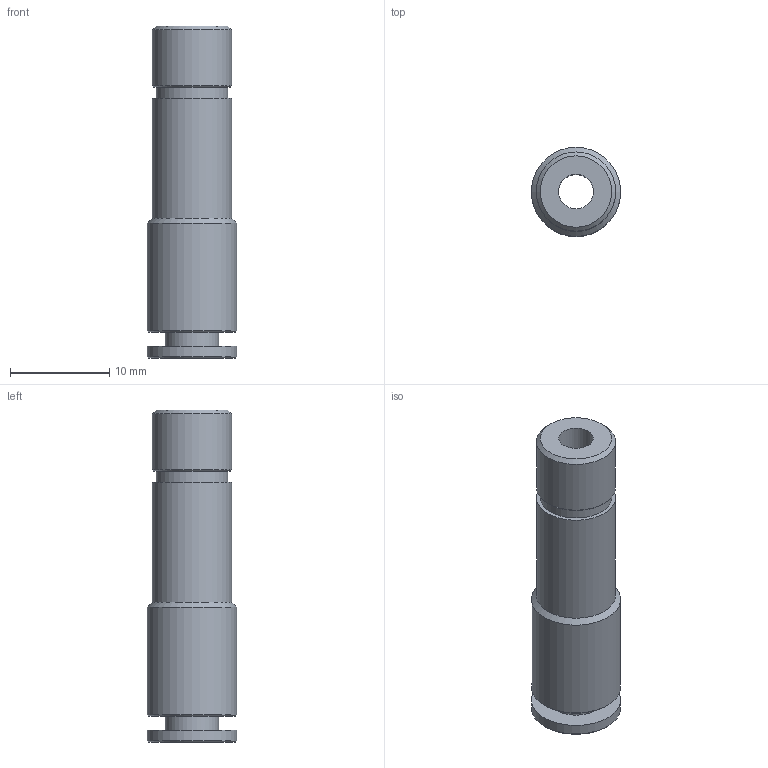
import cadquery as cq

body_diameter = 9.0
shank_diameter = 8.0
groove_diameter = 7.2
neck_diameter = 5.4
bore_diameter = 3.5

flange_top = 1.2
body_bottom = 2.6
shank_bottom = 14.1
groove_bottom = 26.2
groove_top = 27.3
total_height = 33.5

tip_chamfer = 0.4
groove_edge_chamfer = 0.15
small_chamfer = 0.15
shoulder_chamfer = (body_diameter - shank_diameter) / 2


def cylinder(diameter, bottom, top):
    """Upright cylinder on the Z axis between two heights."""
    return cq.Workplane("XY").workplane(offset=bottom).circle(diameter / 2).extrude(top - bottom)


def make_flange():
    return cylinder(body_diameter, 0, flange_top).faces("<Z").chamfer(small_chamfer)


def make_neck():
    return cylinder(neck_diameter, flange_top, body_bottom)


def make_body():
    body = cylinder(body_diameter, body_bottom, shank_bottom)
    body = body.faces("<Z").chamfer(small_chamfer)
    return body.faces(">Z").chamfer(shoulder_chamfer)


def make_shank():
    return cylinder(shank_diameter, shank_bottom, groove_bottom)


def make_groove_floor():
    return cylinder(groove_diameter, groove_bottom, groove_top)


def make_tip():
    tip = cylinder(shank_diameter, groove_top, total_height)
    tip = tip.faces("<Z").chamfer(groove_edge_chamfer)
    return tip.faces(">Z").chamfer(tip_chamfer)


result = (
    make_flange()
    .union(make_neck())
    .union(make_body())
    .union(make_shank())
    .union(make_groove_floor())
    .union(make_tip())
    .cut(cylinder(bore_diameter, 0, total_height))
)